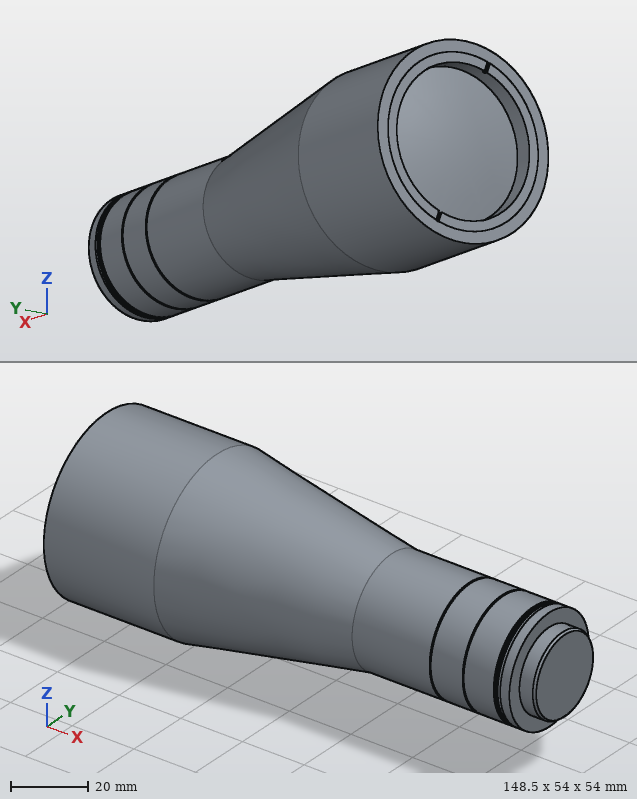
import cadquery as cq
import math

total_length = 148.5
cone_start = 35.6
cone_end = 92.4
housing_end = 117.8
spacer_end = 128.5
label_ring_end = 138.5
lock_groove_center = 139.5
lock_ring_end = 140.5
end_ring_end = 143.5

housing_diameter = 54.0
barrel_diameter = 34.0
neck_diameter = 25.4
neck_tip_diameter = 24.4

joint_chamfer = 0.22
neck_chamfer_length = 0.7

lens_diameter = 47.5
aperture_diameter = 42.0
retainer_depth = 5.3
lens_edge_thickness = 4.5
lens_sphere_radius = 89.1
slot_width = 0.9
slot_depth = 0.9
slot_tilt = 20.0

lens_back = retainer_depth + lens_edge_thickness


def cylinder(start, end, diameter):
    """A solid cylinder on the X axis between two stations."""
    return cq.Workplane("YZ", origin=(start, 0, 0)).circle(diameter / 2).extrude(end - start)


def make_housing():
    """Bell-shaped housing with a front recess for the lens and its retainer."""
    profile = [
        (0, 0),
        (0, housing_diameter / 2),
        (cone_start, housing_diameter / 2),
        (cone_end, barrel_diameter / 2),
        (housing_end, barrel_diameter / 2),
        (housing_end, 0),
    ]
    bell = cq.Workplane("XY").polyline(profile).close().revolve(360, (0, 0, 0), (1, 0, 0))
    bell = bell.faces(">X").chamfer(joint_chamfer)
    return bell.cut(cylinder(0, lens_back, lens_diameter))


def make_retainer():
    """Retaining ring with a spanner slot across its front face."""
    ring = cylinder(0, retainer_depth, lens_diameter).cut(
        cylinder(0, retainer_depth, aperture_diameter)
    )
    slot = (
        cq.Workplane("XY")
        .box(2 * slot_depth, slot_width, housing_diameter)
        .rotate((0, 0, 0), (1, 0, 0), slot_tilt)
    )
    return ring.cut(slot)


def make_lens():
    """Plano-convex lens whose dome starts at the rear edge of the retainer bore."""
    dome_radius = aperture_diameter / 2
    dome_height = lens_sphere_radius - math.sqrt(lens_sphere_radius**2 - dome_radius**2)
    middle_radius = dome_radius / 2
    middle_drop = lens_sphere_radius - math.sqrt(lens_sphere_radius**2 - middle_radius**2)
    apex = retainer_depth - dome_height
    return (
        cq.Workplane("XY")
        .moveTo(apex, 0)
        .threePointArc((apex + middle_drop, middle_radius), (retainer_depth, dome_radius))
        .lineTo(retainer_depth, lens_diameter / 2)
        .lineTo(lens_back, lens_diameter / 2)
        .lineTo(lens_back, 0)
        .close()
        .revolve(360, (0, 0, 0), (1, 0, 0))
    )


def make_barrel_section(start, end):
    """One section of the rear barrel, with both rims lightly chamfered."""
    return cylinder(start, end, barrel_diameter).faces("<X or >X").chamfer(joint_chamfer)


def make_lock_ring():
    """Thin ring with a chamfered front rim and a shallow V groove around it."""
    ring = cylinder(label_ring_end, lock_ring_end, barrel_diameter).faces("<X").chamfer(joint_chamfer)
    outer_radius = barrel_diameter / 2
    groove = (
        cq.Workplane("XY")
        .polyline([
            (lock_groove_center - joint_chamfer, outer_radius),
            (lock_groove_center, outer_radius - joint_chamfer),
            (lock_groove_center + joint_chamfer, outer_radius),
        ])
        .close()
        .revolve(360, (0, 0, 0), (1, 0, 0))
    )
    return ring.cut(groove)


def make_end_ring():
    """Last, plain barrel ring."""
    return cylinder(lock_ring_end, end_ring_end, barrel_diameter)


def make_neck():
    """Reduced-diameter mount at the rear end."""
    neck_rod = cylinder(end_ring_end, total_length, neck_diameter)
    profile = [
        (total_length - neck_chamfer_length, neck_diameter / 2),
        (total_length, neck_diameter / 2),
        (total_length, neck_tip_diameter / 2),
    ]
    bevel = cq.Workplane("XY").polyline(profile).close().revolve(360, (0, 0, 0), (1, 0, 0))
    return neck_rod.cut(bevel)


housing = make_housing()
retainer = make_retainer()
lens = make_lens()
spacer = make_barrel_section(housing_end, spacer_end)
label_ring = make_barrel_section(spacer_end, label_ring_end)
lock_ring = make_lock_ring()
end_ring = make_end_ring()
neck = make_neck()

bodies = [housing, retainer, lens, spacer, label_ring, lock_ring, end_ring, neck]
result = cq.Compound.makeCompound([body.val() for body in bodies])